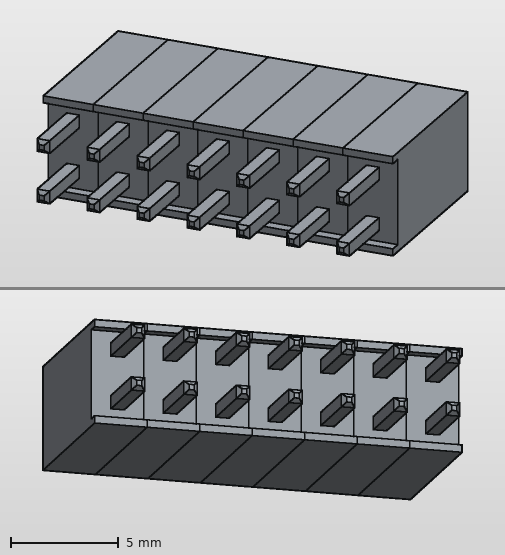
import cadquery as cq

strip_length = 17.78
segment_count = 7
pitch = strip_length / segment_count

housing_height = 5.0
housing_depth = 8.5
lip_thickness = 0.35
lip_depth = 0.55

pin_width = 0.64
pin_reach = 3.0
tip_chamfer = 0.2
pin_length = lip_depth + pin_reach


def make_pin(row_height):
    """Square pin centred on X = 0, from the pin face to its chamfered tip."""
    return (
        cq.Workplane("XZ", origin=(0, lip_depth, row_height))
        .rect(pin_width, pin_width)
        .extrude(pin_length)
        .faces("<Y")
        .chamfer(tip_chamfer)
    )


def make_segment(center_x):
    """One housing segment, lip ends at Y = 0, in one piece with its two pins."""
    recess_height = housing_height - 2 * lip_thickness
    block = cq.Workplane("XY").box(pitch, housing_depth, housing_height, centered=(True, False, True))
    recess = cq.Workplane("XY").box(pitch, lip_depth, recess_height, centered=(True, False, True))
    segment = block.cut(recess)
    for row_height in (-pitch / 2, pitch / 2):
        segment = segment.union(make_pin(row_height))
    return segment.translate((center_x, 0, 0))


first_center_x = -(strip_length - pitch) / 2
segments = [make_segment(first_center_x + index * pitch) for index in range(segment_count)]

result = cq.Compound.makeCompound([segment.solids().val() for segment in segments])